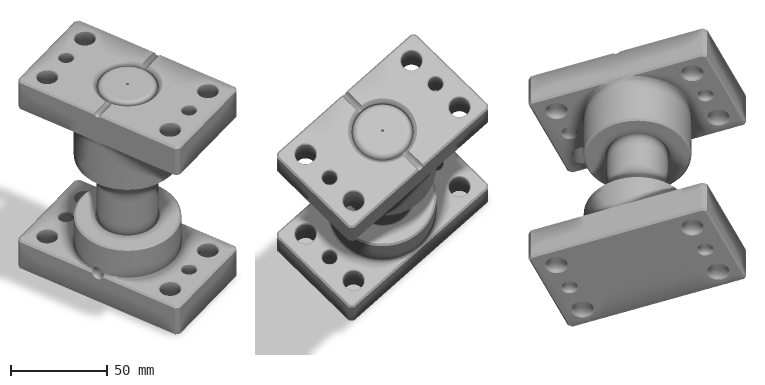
import cadquery as cq

PLATE_LENGTH = 100.0
PLATE_WIDTH = 58.0
PLATE_THICKNESS = 19.9
CORNER_CHAMFER = 2.0
EDGE_CHAMFER = 1.0

TOTAL_HEIGHT = 130.2

COLLAR_RADIUS = PLATE_WIDTH / 2 - EDGE_CHAMFER
LOWER_COLLAR_HEIGHT = 20.0
UPPER_COLLAR_HEIGHT = 30.1
COLLAR_CHAMFER = EDGE_CHAMFER
ROOT_FILLET = EDGE_CHAMFER

HOLE_SPACING_X = 76.0
SCREW_SPACING_Y = 36.1
SCREW_HOLE_RADIUS = 5.5
DOWEL_HOLE_RADIUS = 3.9
HOLE_CHAMFER = 0.5

PIN_RADIUS = 16.0
PIN_TOP_GAP = 0.3
PIN_TOP_FILLET = 3.5
CENTER_HOLE_RADIUS = 0.8
CENTER_HOLE_DEPTH = 1.5
BORE_CHAMFER = EDGE_CHAMFER
COUNTERSINK_RADIUS = 18.0
COUNTERSINK_DEPTH = 2.0

GROOVE_RADIUS = 2.0
PORT_RADIUS = 3.5


def cone(base_radius, top_radius, height):
    """Cone frustum rising from the XY plane."""
    return cq.Workplane("XY").add(cq.Solid.makeCone(base_radius, top_radius, height))


def plate():
    """Chamfered plate with its mounting face at Z = 0 and its collar face at Z = PLATE_THICKNESS."""
    body = (
        cq.Workplane("XY")
        .box(PLATE_LENGTH, PLATE_WIDTH, PLATE_THICKNESS, centered=(True, True, False))
        .edges("|Z")
        .chamfer(CORNER_CHAMFER)
        .faces("<Z or >Z")
        .edges()
        .chamfer(EDGE_CHAMFER)
    )
    for side in (-1, 1):
        x = side * HOLE_SPACING_X / 2
        body = cut_mounting_hole(body, x, 0, DOWEL_HOLE_RADIUS)
        for end in (-1, 1):
            body = cut_mounting_hole(body, x, end * SCREW_SPACING_Y / 2, SCREW_HOLE_RADIUS)
    return body


def cut_mounting_hole(body, x, y, radius):
    """Through hole chamfered at both faces of the plate."""
    rim_radius = radius + HOLE_CHAMFER
    half_profile = [
        (0, 0),
        (rim_radius, 0),
        (radius, HOLE_CHAMFER),
        (radius, PLATE_THICKNESS - HOLE_CHAMFER),
        (rim_radius, PLATE_THICKNESS),
        (0, PLATE_THICKNESS),
    ]
    hole = cq.Workplane("XZ").polyline(half_profile).close().revolve(360, (0, 0), (0, 1))
    return body.cut(hole.translate((x, y, 0)))


def collar(height):
    """Round collar on the plate, chamfered at its free end and flared into the plate by a fillet."""
    root = PLATE_THICKNESS
    end = root + height
    flare_radius = COLLAR_RADIUS + ROOT_FILLET
    arc_offset = ROOT_FILLET * (1 - 0.5**0.5)
    shape = (
        cq.Workplane("XZ")
        .moveTo(0, root)
        .lineTo(flare_radius, root)
        .threePointArc(
            (COLLAR_RADIUS + arc_offset, root + arc_offset),
            (COLLAR_RADIUS, root + ROOT_FILLET),
        )
        .lineTo(COLLAR_RADIUS, end - COLLAR_CHAMFER)
        .lineTo(COLLAR_RADIUS - COLLAR_CHAMFER, end)
        .lineTo(0, end)
        .close()
        .revolve(360, (0, 0), (0, 1))
    )
    space_over_flat_face = (
        cq.Workplane("XY", origin=(0, 0, root))
        .rect(PLATE_LENGTH - 2 * EDGE_CHAMFER, PLATE_WIDTH - 2 * EDGE_CHAMFER)
        .extrude(height)
    )
    return shape.intersect(space_over_flat_face)


def holder(collar_height):
    """Plate and collar in one piece, bored through for the pin, resting on its mounting face."""
    height = PLATE_THICKNESS + collar_height
    bore = cq.Workplane("XY").circle(PIN_RADIUS).extrude(height)
    mouth = cone(PIN_RADIUS, PIN_RADIUS + BORE_CHAMFER, BORE_CHAMFER)
    mouth = mouth.translate((0, 0, height - BORE_CHAMFER))
    return plate().union(collar(collar_height)).cut(bore).cut(mouth)


def make_lower_holder():
    """Lower holder with a lubrication port from its front edge to the pin."""
    port = (
        cq.Workplane("XZ", origin=(0, 0, PLATE_THICKNESS))
        .circle(PORT_RADIUS)
        .extrude(PLATE_WIDTH / 2)
    )
    return holder(LOWER_COLLAR_HEIGHT).cut(port)


def make_upper_holder():
    """Upper holder, hanging collar down, with a countersunk bore and a groove across its top face."""
    groove = cq.Workplane("XZ").circle(GROOVE_RADIUS).extrude(PLATE_WIDTH / 2, both=True)
    countersink = cone(COUNTERSINK_RADIUS, PIN_RADIUS, COUNTERSINK_DEPTH)
    body = holder(UPPER_COLLAR_HEIGHT).cut(groove).cut(countersink)
    return body.rotate((0, 0, 0), (1, 0, 0), 180).translate((0, 0, TOTAL_HEIGHT))


def make_pin():
    """Guide pin with a rounded upper end and a small blind center hole."""
    height = TOTAL_HEIGHT - PIN_TOP_GAP
    return (
        cq.Workplane("XY")
        .circle(PIN_RADIUS)
        .extrude(height)
        .faces(">Z")
        .edges()
        .fillet(PIN_TOP_FILLET)
        .faces(">Z")
        .workplane(origin=(0, 0, height))
        .hole(2 * CENTER_HOLE_RADIUS, CENTER_HOLE_DEPTH)
    )


lower_holder = make_lower_holder()
upper_holder = make_upper_holder()
pin = make_pin()

result = cq.Compound.makeCompound([lower_holder.val(), upper_holder.val(), pin.val()])